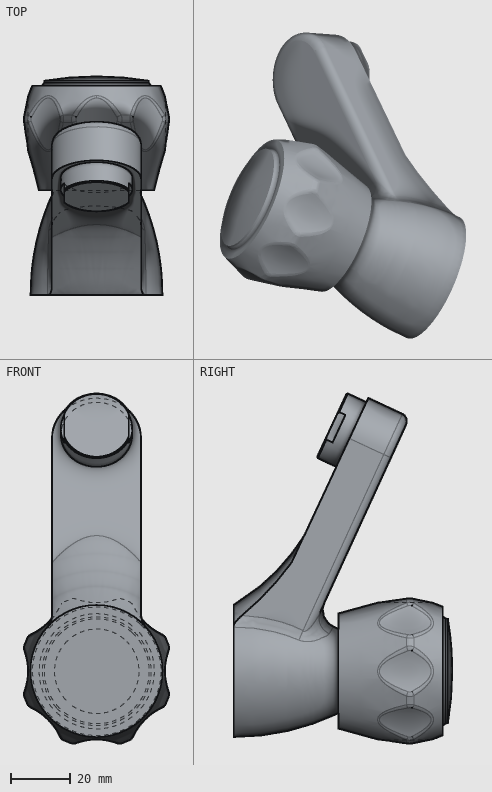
import cadquery as cq
import math

BODY_LENGTH = 35.4
BODY_FACE_RADIUS = 22.35
BODY_NECK_RADIUS = 14.3
BODY_ARC_RADIUS = 81.0

KNOB_BACK_Y = BODY_LENGTH
KNOB_RIDGE_Y = 59.7
KNOB_FRONT_Y = 70.8
KNOB_BACK_RADIUS = 19.5
KNOB_RIDGE_RADIUS = 26.15
KNOB_FRONT_RADIUS = 21.75
KNOB_RIDGE_FILLET = 4.0
SCALLOP_COUNT = 8
SCALLOP_FLOOR = 23.2
SCALLOP_RADIUS = 20.0
SCALLOP_EDGE_FILLET = 2.2

CAP_RADIUS = 17.75
CAP_COLLAR_RADIUS = 18.4
CAP_COLLAR_TOP_Y = 71.8
CAP_RIM_Y = 72.5
CAP_TOP_Y = 74.0

SPOUT_LEAN = 25.0
SPOUT_WIDTH = 30.2
SPOUT_TIP_THICKNESS = 15.4
SPOUT_ROOT_THICKNESS = 16.0
SPOUT_LENGTH = 81.0
SPOUT_BACK_FILLET = 2.8
SPOUT_ROOT_FILLET = 6.0
SPOUT_TIP_Y = 39.2
SPOUT_TIP_Z = 78.7

FLARE_TOP_Y = 23.9
FLARE_ARC_RADIUS = 70.0

OUTLET_RADIUS = 12.1
OUTLET_LENGTH = 7.3
OUTLET_OFFSET = 1.45
OUTLET_CHAMFER = 0.4
FLAT_SPACING = 21.9
FLAT_DEPTH = 2.7

spout_half_width = SPOUT_WIDTH / 2
lean = math.radians(SPOUT_LEAN)

spout_front = cq.Plane(
    origin=(0, SPOUT_TIP_Y, SPOUT_TIP_Z),
    xDir=(1, 0, 0),
    normal=(0, -math.cos(lean), math.sin(lean)),
)
spout_middle = cq.Plane(
    origin=spout_front.origin.toTuple(),
    xDir=spout_front.zDir.toTuple(),
    normal=(-1, 0, 0),
)


def front_plane_y(z):
    """Y of the spout's front plane at height z."""
    return SPOUT_TIP_Y - (SPOUT_TIP_Z - z) * math.tan(lean)


flare_top_z = SPOUT_TIP_Z - (SPOUT_TIP_Y - FLARE_TOP_Y) / math.tan(lean)


def revolve_about_y(outline):
    return outline.close().revolve(360, (0, 0), (1, 0))


def make_body():
    return revolve_about_y(
        cq.Workplane("YZ")
        .lineTo(0, -BODY_FACE_RADIUS)
        .radiusArc((BODY_LENGTH, -BODY_NECK_RADIUS), -BODY_ARC_RADIUS)
        .lineTo(BODY_LENGTH, 0)
    )


def make_spout():
    outline = (
        cq.Workplane(spout_front)
        .moveTo(-spout_half_width, -SPOUT_LENGTH)
        .lineTo(spout_half_width, -SPOUT_LENGTH)
        .lineTo(spout_half_width, 0)
        .threePointArc((0, spout_half_width), (-spout_half_width, 0))
        .close()
        .extrude(-SPOUT_ROOT_THICKNESS)
    )
    side_profile = (
        cq.Workplane(spout_middle)
        .moveTo(0, spout_half_width)
        .lineTo(-SPOUT_TIP_THICKNESS, spout_half_width)
        .lineTo(-SPOUT_ROOT_THICKNESS, -SPOUT_LENGTH)
        .lineTo(0, -SPOUT_LENGTH)
        .close()
        .extrude(spout_half_width, both=True)
    )
    bar = outline.intersect(side_profile)
    back = cq.selectors.DirectionMinMaxSelector(spout_front.zDir, False)
    return bar.faces(back).edges().fillet(SPOUT_BACK_FILLET)


def make_wedge(half_width, overlap):
    """Block between y = 0 and the spout front, reaching into the bar by the overlap."""
    return (
        cq.Workplane("YZ")
        .lineTo(0, flare_top_z)
        .lineTo(FLARE_TOP_Y + overlap, flare_top_z)
        .lineTo(front_plane_y(0) + overlap, 0)
        .close()
        .extrude(half_width, both=True)
    )


def make_flare():
    return revolve_about_y(
        cq.Workplane("YZ")
        .lineTo(0, -BODY_FACE_RADIUS)
        .radiusArc((FLARE_TOP_Y, -flare_top_z), FLARE_ARC_RADIUS)
        .lineTo(FLARE_TOP_Y, 0)
    )


def make_body_with_spout():
    overlap = SPOUT_ROOT_THICKNESS / 2
    spout = make_spout().union(make_wedge(spout_half_width, overlap))
    casting = make_body().union(spout)
    root_box = cq.selectors.BoxSelector(
        (-spout_half_width - 1, -1, 0),
        (spout_half_width + 1, BODY_LENGTH - 1, BODY_FACE_RADIUS),
    )
    casting = casting.edges("%BSPLINE").edges(root_box).fillet(SPOUT_ROOT_FILLET)
    trim = make_wedge(SPOUT_WIDTH, 0).cut(make_flare())
    return casting.cut(trim)


def make_outlet():
    tip_face = cq.selectors.DirectionMinMaxSelector(spout_front.zDir)
    outlet = (
        cq.Workplane(spout_front)
        .center(0, OUTLET_OFFSET)
        .circle(OUTLET_RADIUS)
        .extrude(OUTLET_LENGTH)
        .faces(tip_face)
        .edges()
        .chamfer(OUTLET_CHAMFER)
    )
    for side in (-1, 1):
        beside_flat = (
            cq.Workplane(spout_front)
            .workplane(offset=OUTLET_LENGTH - FLAT_DEPTH)
            .center(side * (FLAT_SPACING + OUTLET_RADIUS) / 2, OUTLET_OFFSET)
            .rect(OUTLET_RADIUS, 2 * OUTLET_RADIUS)
            .extrude(FLAT_DEPTH)
        )
        outlet = outlet.cut(beside_flat)
    return outlet


def make_knob():
    knob = revolve_about_y(
        cq.Workplane("YZ")
        .moveTo(KNOB_BACK_Y, 0)
        .lineTo(KNOB_BACK_Y, KNOB_BACK_RADIUS)
        .lineTo(KNOB_RIDGE_Y, KNOB_RIDGE_RADIUS)
        .lineTo(KNOB_FRONT_Y, KNOB_FRONT_RADIUS)
        .lineTo(KNOB_FRONT_Y, 0)
    )
    ridge = cq.selectors.RadiusNthSelector(-1)
    knob = knob.edges(ridge).fillet(KNOB_RIDGE_FILLET)

    scallop = (
        cq.Workplane("XZ", origin=(0, KNOB_BACK_Y, 0))
        .center(SCALLOP_FLOOR + SCALLOP_RADIUS, 0)
        .circle(SCALLOP_RADIUS)
        .extrude(KNOB_BACK_Y - KNOB_FRONT_Y)
    )
    for index in range(SCALLOP_COUNT):
        knob = knob.cut(scallop.rotate((0, 0, 0), (0, 1, 0), index * 360 / SCALLOP_COUNT))

    return knob.edges("%BSPLINE").fillet(SCALLOP_EDGE_FILLET)


def make_cap():
    dome_height = CAP_TOP_Y - CAP_RIM_Y
    dome_radius = (CAP_RADIUS**2 + dome_height**2) / (2 * dome_height)
    return revolve_about_y(
        cq.Workplane("YZ")
        .moveTo(KNOB_FRONT_Y, 0)
        .lineTo(KNOB_FRONT_Y, CAP_COLLAR_RADIUS)
        .lineTo(CAP_COLLAR_TOP_Y, CAP_RADIUS)
        .lineTo(CAP_RIM_Y, CAP_RADIUS)
        .radiusArc((CAP_TOP_Y, 0), dome_radius)
    )


result = make_body_with_spout().union(make_outlet()).union(make_knob()).union(make_cap())